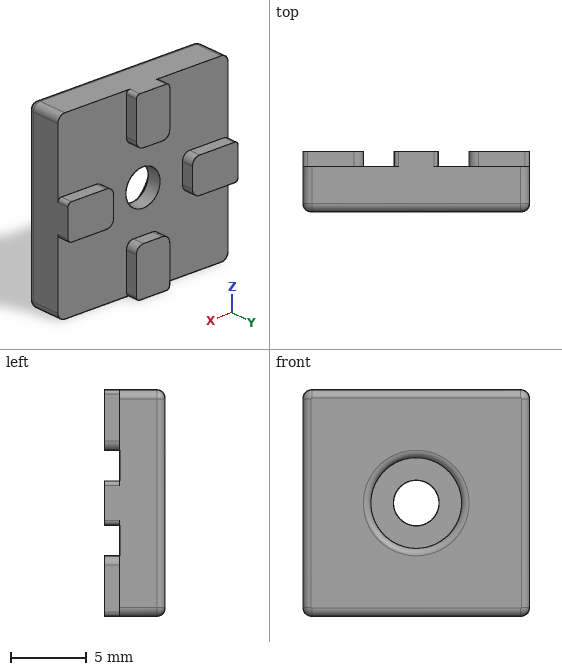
import cadquery as cq

side = 15.0
plate_thickness = 3.0
corner_radius = 0.6
front_fillet = 0.54

lug_height = 1.0
lug_width = 2.94
lug_length = 4.02
lug_outer_radius = 0.3
lug_inner_radius = 0.63

hole_diameter = 3.0
counterbore_diameter = 6.0
counterbore_depth = 1.8
rim_fillet = 0.5

total_depth = plate_thickness + lug_height
front_y = -total_depth / 2
back_y = front_y + plate_thickness


def make_plate():
    """Square plate with rounded corners and a rounded front outline."""
    plate = cq.Workplane("XY").box(side, plate_thickness, side)
    plate = plate.translate((0, front_y + plate_thickness / 2, 0))
    plate = plate.edges("|Y").fillet(corner_radius)
    return plate.faces("<Y").edges().fillet(front_fillet)


def make_lug(angle):
    """Lug flush with the top side of the plate, turned about Y by the angle."""
    lug = cq.Workplane("XY").box(lug_width, lug_height, lug_length)
    lug = lug.edges("|Y and >Z").fillet(lug_outer_radius)
    lug = lug.edges("|Y and <Z").fillet(lug_inner_radius)
    lug = lug.translate((0, back_y + lug_height / 2, (side - lug_length) / 2))
    return lug.rotate((0, 0, 0), (0, 1, 0), angle)


def make_bore(diameter, depth):
    """Cylinder along Y that starts at the front face."""
    bore = cq.Workplane("XZ").circle(diameter / 2).extrude(-depth)
    return bore.translate((0, front_y, 0))


result = make_plate().cut(make_bore(counterbore_diameter, counterbore_depth))
result = result.faces("<Y").edges("%CIRCLE").fillet(rim_fillet)
result = result.cut(make_bore(hole_diameter, plate_thickness))

for angle in (0, 90, 180, 270):
    result = result.union(make_lug(angle))